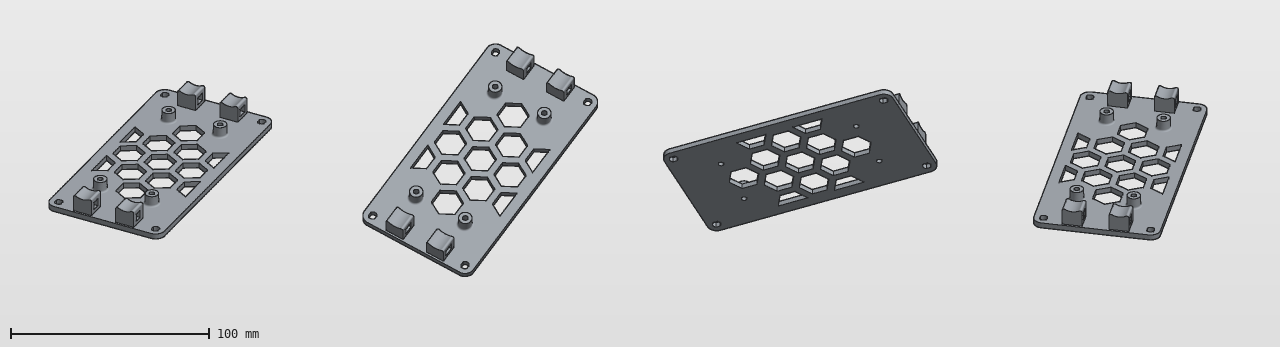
import cadquery as cq
import math

plate_width = 65.0
plate_length = 125.0
plate_thickness = 3.0
corner_radius = 5.0
mount_hole_diameter = 4.2
mount_hole_flat_width = 3.6
mount_spacing_x = plate_width - 2 * corner_radius
mount_spacing_y = plate_length - 2 * corner_radius

hex_flat_width = 14.0
hex_gap = 3.8
hex_pitch = hex_flat_width + hex_gap
hex_row_pitch = hex_pitch * math.sqrt(3) / 2
hex_corner_diameter = hex_flat_width * 2 / math.sqrt(3)
hexes_per_row = {-2: 1, -1: 4, 0: 3, 1: 4, 2: 1}
window_half_width = 1.5 * hex_pitch

standoff_spacing_x = 29.2
standoff_spacing_y = 74.0
standoff_top_diameter = 6.8
standoff_base_diameter = 7.1
standoff_height = 6.0
standoff_bore_diameter = 2.8
standoff_base_fillet = 1.0

saddle_width = 10.2
saddle_length = 10.0
saddle_height = 9.0
saddle_spacing_x = 24.0
saddle_edge_gap = 1.1
saddle_radius = 7.5
lip_radius = 1.0
strap_roof_thickness = 3.1
tunnel_floor_height = 2.0
back_tunnel_width = 5.0
front_tunnel_width = 4.0

lip_center_x = saddle_width / 2 - lip_radius
lip_center_z = plate_thickness + saddle_height - lip_radius
trough_center_z = lip_center_z + math.sqrt((saddle_radius + lip_radius) ** 2 - lip_center_x ** 2)
saddle_center_y = plate_length / 2 - saddle_edge_gap - saddle_length / 2


def make_plate():
    """Rounded plate with a flat-sided mounting hole in each corner."""
    plate = cq.Workplane("XY").box(plate_width, plate_length, plate_thickness, centered=(True, True, False))
    plate = plate.edges("|Z").fillet(corner_radius)
    spots = cq.Workplane("XY").rect(mount_spacing_x, mount_spacing_y, forConstruction=True).vertices()
    round_holes = spots.circle(mount_hole_diameter / 2).extrude(plate_thickness)
    flat_limits = spots.rect(mount_hole_flat_width, mount_hole_diameter).extrude(plate_thickness)
    return plate.cut(round_holes.intersect(flat_limits))


def make_windows():
    """Hexagonal windows in staggered rows, with half hexagons at the sides of the four-window rows."""
    centers = []
    for row, count in hexes_per_row.items():
        for column in range(count):
            centers.append(((column - (count - 1) / 2) * hex_pitch, row * hex_row_pitch))
    rotated = cq.Workplane(cq.Plane(origin=(0, 0, 0), xDir=(0, 1, 0), normal=(0, 0, 1)))
    local_centers = [(y, -x) for x, y in centers]
    windows = rotated.pushPoints(local_centers).polygon(6, hex_corner_diameter).extrude(plate_thickness)
    limits = cq.Workplane("XY").box(
        2 * window_half_width, plate_length, plate_thickness, centered=(True, True, False)
    )
    return windows.intersect(limits)


def add_standoffs(body):
    """Slightly tapered standoffs, filleted where they meet the plate and bored through it."""
    spots = cq.Workplane("XY").rect(standoff_spacing_x, standoff_spacing_y, forConstruction=True).vertices()
    top_z = plate_thickness + standoff_height
    standoff = (
        cq.Workplane("XY", origin=(0, 0, plate_thickness))
        .circle(standoff_base_diameter / 2)
        .workplane(offset=standoff_height)
        .circle(standoff_top_diameter / 2)
        .loft()
        .val()
    )
    body = body.union(spots.eachpoint(lambda spot: standoff.located(spot)))
    plate_top = body.faces(cq.selectors.NearestToPointSelector((0, 0, plate_thickness)))
    base_circles = plate_top.edges("%CIRCLE").filter(
        lambda edge: math.isclose(edge.radius(), standoff_base_diameter / 2)
    )
    body = base_circles.fillet(standoff_base_fillet)
    bores = spots.circle(standoff_bore_diameter / 2).extrude(top_z)
    return body.cut(bores)


def make_saddle(tunnel_width):
    """Saddle with a strap tunnel along X, standing on the plate and centred on the Z axis."""
    half_width = saddle_width / 2
    contact_ratio = saddle_radius / (saddle_radius + lip_radius)
    contact_x = lip_center_x * contact_ratio
    contact_z = trough_center_z - (trough_center_z - lip_center_z) * contact_ratio
    saddle = (
        cq.Workplane("XZ")
        .moveTo(-half_width, plate_thickness)
        .lineTo(-half_width, lip_center_z)
        .radiusArc((-contact_x, contact_z), lip_radius)
        .radiusArc((contact_x, contact_z), -saddle_radius)
        .radiusArc((half_width, lip_center_z), lip_radius)
        .lineTo(half_width, plate_thickness)
        .close()
        .extrude(saddle_length / 2, both=True)
    )
    roof_radius = saddle_radius + strap_roof_thickness
    tunnel_floor_z = plate_thickness + tunnel_floor_height
    tunnel = (
        cq.Workplane("XY", origin=(0, 0, tunnel_floor_z))
        .rect(saddle_width, tunnel_width)
        .extrude(saddle_height)
    )
    roof = (
        cq.Workplane("XZ", origin=(0, 0, trough_center_z))
        .circle(roof_radius)
        .extrude(tunnel_width / 2, both=True)
    )
    return saddle.cut(tunnel.cut(roof))


result = make_plate().cut(make_windows())
result = add_standoffs(result)
for side_x in (-1, 1):
    for side_y, tunnel_width in ((-1, front_tunnel_width), (1, back_tunnel_width)):
        position = (side_x * saddle_spacing_x / 2, side_y * saddle_center_y, 0)
        result = result.union(make_saddle(tunnel_width).translate(position))